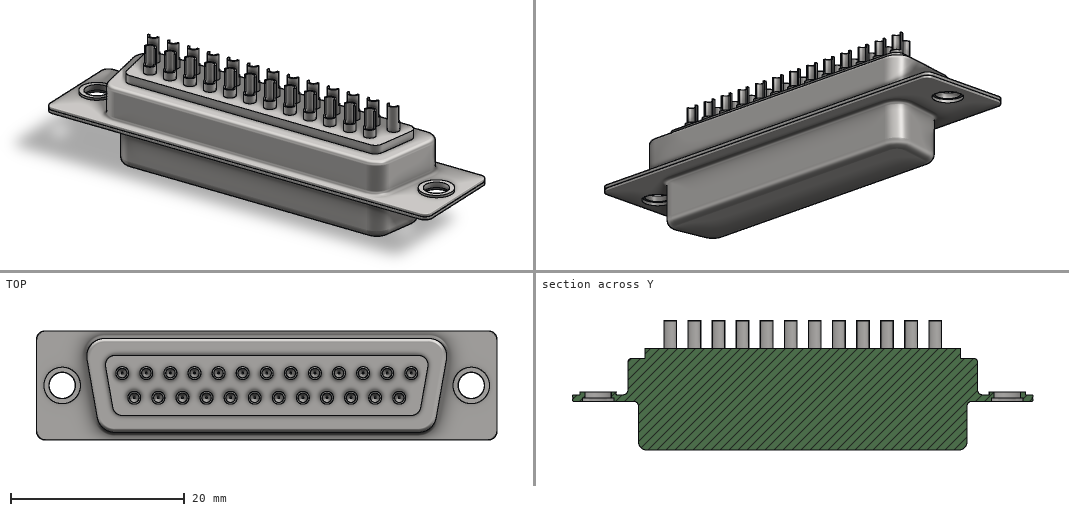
import cadquery as cq
import math


flange_length = 52.96
flange_width = 12.55
plate_thickness = 0.4
flange_bottom = 5.6
flange_corner_radius = 1.0
flange_edge_radius = 0.1
plate_joint = flange_bottom + plate_thickness
flange_top = plate_joint + plate_thickness

mounting_hole_spacing = 47.04
mounting_hole_diameter = 3.0
clearance_diameter = 3.6
rim_diameter = 4.2
rim_height = 0.3

side_angle = math.radians(10)
shell_mean_length = 37.86
shell_width = 7.9
shell_corner_radius = 1.95
shell_end_radius = 1.0

housing_mean_length = 40.28
housing_width = 10.8
housing_corner_radius = 2.05
housing_edge_radius = 0.5
housing_top = 10.6

insert_mean_length = 36.3
insert_width = 6.9
insert_corner_radius = 1.1
insert_top = 11.7

root_radius = 0.5

overall_height = 14.9
cup_pitch = 2.77
row_spacing = 2.84
long_row_count = 13
short_row_count = long_row_count - 1
cup_diameter = 1.48
bore_diameter = 1.08
bore_flat_diameter = 0.2
bore_tip_angle = math.radians(118)
cup_opening_height = 2.2
cup_opening_radius = 0.2
cup_height = overall_height - insert_top
cup_embedment = 0.5


def d_prism(mean_length, width, corner_radius, bottom, top):
    """Vertical prism with a rounded D outline, its longer side toward +Y."""
    half_width = width / 2
    half_flare = half_width * math.tan(side_angle)
    long_half = mean_length / 2 + half_flare
    short_half = mean_length / 2 - half_flare
    outline = [
        (-long_half, half_width),
        (long_half, half_width),
        (short_half, -half_width),
        (-short_half, -half_width),
    ]
    prism = cq.Workplane("XY").workplane(offset=bottom).polyline(outline).close().extrude(top - bottom)
    return prism.edges("|Z").fillet(corner_radius)


def make_flange():
    """Two stacked plates; their rounded edges leave a fine groove around the middle of the flange."""
    flange = cq.Workplane("XY")
    for level in (flange_bottom, plate_joint):
        plate = (
            cq.Workplane("XY")
            .workplane(offset=level)
            .rect(flange_length, flange_width)
            .extrude(plate_thickness)
            .edges("|Z")
            .fillet(flange_corner_radius)
        )
        flange = flange.union(plate.faces("<Z or >Z").edges().fillet(flange_edge_radius))
    return flange


def make_body():
    """Flange with the shell below it and the housing above it, blended at the roots."""
    shell = d_prism(shell_mean_length, shell_width, shell_corner_radius, 0, flange_top)
    shell = shell.faces("<Z").edges().fillet(shell_end_radius)
    housing = d_prism(housing_mean_length, housing_width, housing_corner_radius, plate_joint, housing_top)
    housing = housing.faces(">Z").edges().fillet(housing_edge_radius)
    body = make_flange().union(shell).union(housing)

    margin = 0.01
    root_zone_length = housing_mean_length + housing_width
    for level in (flange_bottom, flange_top):
        root_zone = cq.selectors.BoxSelector(
            (-root_zone_length / 2, -housing_width / 2 - margin, level - margin),
            (root_zone_length / 2, housing_width / 2 + margin, level + margin),
            boundingbox=True,
        )
        body = body.edges(root_zone).fillet(root_radius)
    return body


def mounting_cylinders(diameter, bottom, top):
    """A pair of vertical cylinders, one on each mounting hole centre."""
    return (
        cq.Workplane("XY")
        .workplane(offset=bottom)
        .pushPoints([(-mounting_hole_spacing / 2, 0), (mounting_hole_spacing / 2, 0)])
        .circle(diameter / 2)
        .extrude(top - bottom)
    )


def add_mounting_holes(body):
    rim_top = flange_top + rim_height
    rims = mounting_cylinders(rim_diameter, plate_joint, rim_top)
    holes = mounting_cylinders(mounting_hole_diameter, flange_bottom, rim_top)
    clearances = mounting_cylinders(clearance_diameter, flange_bottom, plate_joint)
    return body.union(rims).cut(holes).cut(clearances)


def make_cup_solid():
    """Outside of one cup standing on Z = 0, its +Y half cut away above the opening step."""
    cup = (
        cq.Workplane("XY")
        .workplane(offset=-cup_embedment)
        .circle(cup_diameter / 2)
        .extrude(cup_height + cup_embedment)
    )
    opening = (
        cq.Workplane("XY")
        .box(cup_diameter, cup_diameter, cup_opening_height, centered=(True, False, False))
        .translate((0, 0, cup_height - cup_opening_height))
        .edges("|X and <Y and <Z")
        .fillet(cup_opening_radius)
    )
    return cup.cut(opening)


def make_bore():
    """Drilled bore of one cup: straight down to Z = 0, then a conical tip with a small flat."""
    bore_radius = bore_diameter / 2
    flat_radius = bore_flat_diameter / 2
    tip_depth = (bore_radius - flat_radius) / math.tan(bore_tip_angle / 2)
    profile = [
        (0, -tip_depth),
        (flat_radius, -tip_depth),
        (bore_radius, 0),
        (bore_radius, cup_height),
        (0, cup_height),
    ]
    return cq.Workplane("XZ").polyline(profile).close().revolve(360, (0, 0, 0), (0, 1, 0))


def cup_row(shape, count, side):
    """Copies of a cup shape along one row; side is +1 for the +Y row and -1 for the -Y row."""
    facing = shape if side > 0 else shape.rotate((0, 0, 0), (0, 0, 1), 180)
    row = cq.Workplane("XY")
    for index in range(count):
        x = (index - (count - 1) / 2) * cup_pitch
        row = row.add(facing.translate((x, side * row_spacing / 2, insert_top)))
    return row.combine()


def add_cups(body):
    rows = ((long_row_count, 1), (short_row_count, -1))
    for count, side in rows:
        body = body.union(cup_row(make_cup_solid(), count, side))
        body = body.cut(cup_row(make_bore(), count, side))
    return body


insert = d_prism(insert_mean_length, insert_width, insert_corner_radius, flange_top, insert_top)
connector = make_body().union(insert)
connector = add_mounting_holes(connector)
result = add_cups(connector)